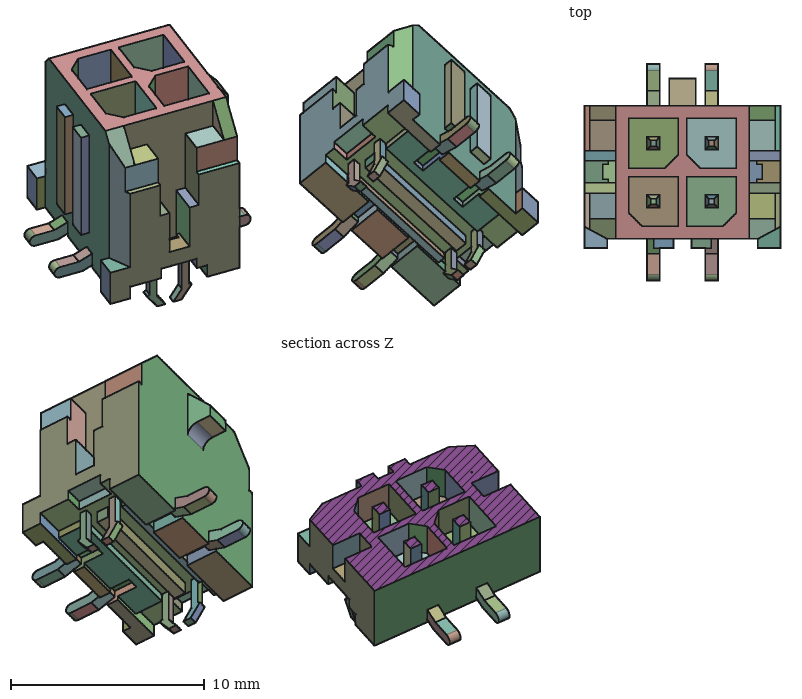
import cadquery as cq
import math

OVERALL_HEIGHT = 11.91
PITCH = 3.0
HEIGHT = 9.92
CORE_HALF = 3.44
WIDTH_HALF = 5.07
FRONT_Y = -3.92

STEP_X = 4.8
STEP_Z = 6.76
SHOULDER_Z = 8.3
SHOULDER_BACK_Y = 2.69
SHOULDER_FRONT_Y = -2.39
BEVEL_INNER_X = 3.88
BEVEL_Y = -2.8
FOOT_Z = 2.02

SLOT_Y = 0.02
WIDE_SLOT_HALF = 1.1
WIDE_SLOT_Z = 4.8
NARROW_SLOT_HALF = 0.57
NARROW_SLOT_Z = 2.29
SOCKET_DEPTH = 0.48
SOCKET_X = 3.84
SOCKET_KEY_X = 4.12
SOCKET_KEY_HALF = 0.39

CELL = 2.56
CELL_BEVEL = 0.69
CELL_FLOOR_Z = 2.02
PIN = 0.67
PIN_TIP = 0.3
PIN_TIP_Z = 7.15
PIN_TAPER = 0.95

RIB_X = 0.98
RIB_WIDTH = 1.02
RIB_TOP_Z = SHOULDER_Z

CHANNEL_FRONT_Y = -2.79
CHANNEL_BACK_Y = 1.61
CHANNEL_Z = 0.26
RELIEF_FRONT_Y = -1.14
RELIEF_BACK_Y = 1.2
RELIEF_Z = 0.75
RECESS_HALF = 1.01
RECESS_Z = 1.36
POST_HALF = 0.33

LATCH_HALF = 0.69
LATCH_Y = 4.85
LATCH_ROOT_Z = 9.36
LATCH_NOSE_Z = 7.73
LATCH_UNDER_Z = 6.98
LATCH_RADIUS = 0.6

LEAD_END_Y = 5.6
LEAD_BASE_Z = -0.05
LEAD_TOP_BEND_Y = 4.2
LEAD_BOTTOM_BEND_Y = 3.99
LEAD_ROOT_Y = 2.98
LEAD_RISE = math.tan(math.radians(20))

CLIP_INNER_X = CORE_HALF
CLIP_OUTER_X = BEVEL_INNER_X
CLIP_BOTTOM_Z = HEIGHT - OVERALL_HEIGHT
CLIP_LEG = [
    (0.71, RELIEF_Z),
    (1.12, RELIEF_Z),
    (1.12, -1.08),
    (1.27, -1.18),
    (0.69, CLIP_BOTTOM_Z),
    (0.23, CLIP_BOTTOM_Z),
    (0.71, -1.29),
]


def block(x0, x1, y0, y1, z0, z1):
    """Box between opposite corners."""
    return cq.Workplane("XY").box(x1 - x0, y1 - y0, z1 - z0, centered=False).translate((x0, y0, z0))


def across_x(points, x0, x1):
    """Extrude a closed (Y, Z) outline from x0 to x1."""
    return cq.Workplane("YZ", origin=(x0, 0, 0)).polyline(points).close().extrude(x1 - x0)


def both_sides(shape):
    """The shape joined with its mirror image in X."""
    return shape.union(shape.mirror("YZ"))


def housing():
    front_outline = [
        (-WIDTH_HALF, 0),
        (WIDTH_HALF, 0),
        (WIDTH_HALF, STEP_Z),
        (STEP_X, STEP_Z),
        (STEP_X, SHOULDER_Z),
        (CORE_HALF, HEIGHT),
        (-CORE_HALF, HEIGHT),
        (-STEP_X, SHOULDER_Z),
        (-STEP_X, STEP_Z),
        (-WIDTH_HALF, STEP_Z),
    ]
    body = (
        cq.Workplane("XZ", origin=(0, CORE_HALF, 0))
        .polyline(front_outline).close().extrude(2 * CORE_HALF)
    )
    bevel = (
        cq.Workplane("XY", origin=(0, 0, FOOT_Z))
        .moveTo(-BEVEL_INNER_X, -CORE_HALF)
        .lineTo(-WIDTH_HALF, BEVEL_Y)
        .lineTo(-WIDTH_HALF, -CORE_HALF)
        .close().extrude(HEIGHT)
    )
    gap_above_shoulder = block(
        -WIDTH_HALF, -CORE_HALF, SHOULDER_FRONT_Y, SHOULDER_BACK_Y, SHOULDER_Z, HEIGHT
    )
    foot = block(-WIDTH_HALF, -BEVEL_INNER_X, FRONT_Y, -CORE_HALF, 0, FOOT_Z)
    body = body.cut(both_sides(bevel)).cut(both_sides(gap_above_shoulder))
    return body.union(both_sides(foot))


def slot_block(outer_x, half, floor_z, top_z):
    """Block centred on the side slot, reaching from outer_x in to the core."""
    return block(-outer_x, -CORE_HALF, SLOT_Y - half, SLOT_Y + half, floor_z, top_z)


def side_slots():
    wide = slot_block(WIDTH_HALF, WIDE_SLOT_HALF, WIDE_SLOT_Z, HEIGHT)
    narrow = slot_block(WIDTH_HALF, NARROW_SLOT_HALF, NARROW_SLOT_Z, HEIGHT)
    socket_z = NARROW_SLOT_Z - SOCKET_DEPTH
    socket = slot_block(SOCKET_X, NARROW_SLOT_HALF, socket_z, NARROW_SLOT_Z)
    key = slot_block(SOCKET_KEY_X, SOCKET_KEY_HALF, socket_z, NARROW_SLOT_Z)
    return both_sides(wide.union(narrow).union(socket).union(key))


def underside():
    channel = block(-WIDTH_HALF, WIDTH_HALF, CHANNEL_FRONT_Y, CHANNEL_BACK_Y, 0, CHANNEL_Z)
    relief = block(-WIDTH_HALF, WIDTH_HALF, RELIEF_FRONT_Y, RELIEF_BACK_Y, 0, RELIEF_Z)
    wall_edge = block(-WIDTH_HALF, -CORE_HALF, CHANNEL_FRONT_Y, CHANNEL_BACK_Y, 0, RELIEF_Z)
    recess = block(-WIDTH_HALF, -SOCKET_KEY_X, -RECESS_HALF, RECESS_HALF, RELIEF_Z, RECESS_Z)
    post = block(-CORE_HALF, CORE_HALF, -POST_HALF, POST_HALF, 0, RELIEF_Z)
    return channel.union(relief).union(both_sides(wall_edge.union(recess))).cut(post)


def cavity(side_x, side_y):
    """Contact cavity keyed by one bevelled front corner: inner on the back row, outer on the front row."""
    x, y = side_x * PITCH / 2, side_y * PITCH / 2
    cell = block(-CELL / 2, CELL / 2, -CELL / 2, CELL / 2, CELL_FLOOR_Z, HEIGHT)
    corner = "<X and <Y" if side_x == side_y else ">X and <Y"
    return cell.edges("|Z").edges(corner).chamfer(CELL_BEVEL).translate((x, y, 0))


def pin(side_x, side_y):
    shaft_top = PIN_TIP_Z - PIN_TAPER
    shaft = block(-PIN / 2, PIN / 2, -PIN / 2, PIN / 2, CELL_FLOOR_Z, shaft_top)
    tip = (
        cq.Workplane("XY", origin=(0, 0, shaft_top))
        .rect(PIN, PIN).workplane(offset=PIN_TAPER).rect(PIN_TIP, PIN_TIP).loft()
    )
    return shaft.union(tip).translate((side_x * PITCH / 2, side_y * PITCH / 2, 0))


def lead(side_x):
    """Gull-wing lead with a rounded tip, leaving the back wall."""
    x = side_x * PITCH / 2
    top_z = LEAD_BASE_Z + PIN
    tip_y = LEAD_END_Y - PIN / 2
    outline = [
        (tip_y, top_z),
        (LEAD_TOP_BEND_Y, top_z),
        (LEAD_ROOT_Y, top_z + LEAD_RISE * (LEAD_TOP_BEND_Y - LEAD_ROOT_Y)),
        (LEAD_ROOT_Y, LEAD_BASE_Z + LEAD_RISE * (LEAD_BOTTOM_BEND_Y - LEAD_ROOT_Y)),
        (LEAD_BOTTOM_BEND_Y, LEAD_BASE_Z),
        (tip_y, LEAD_BASE_Z),
    ]
    return (
        cq.Workplane("YZ", origin=(x - PIN / 2, 0, 0))
        .polyline(outline)
        .threePointArc((LEAD_END_Y, LEAD_BASE_Z + PIN / 2), outline[0])
        .close().extrude(PIN)
    )


def lead_slot(side_x):
    """Opening in the back wall below a lead."""
    x = side_x * PITCH / 2
    return block(x - PIN / 2, x + PIN / 2, CHANNEL_BACK_Y, CORE_HALF, 0, RELIEF_Z)


def latch():
    return (
        cq.Workplane("YZ", origin=(-LATCH_HALF, 0, 0))
        .moveTo(CORE_HALF, LATCH_ROOT_Z)
        .lineTo(LATCH_Y, LATCH_NOSE_Z)
        .lineTo(LATCH_Y, LATCH_UNDER_Z)
        .lineTo(CORE_HALF + LATCH_RADIUS, LATCH_UNDER_Z)
        .radiusArc((CORE_HALF, LATCH_UNDER_Z - LATCH_RADIUS), -LATCH_RADIUS)
        .close().extrude(2 * LATCH_HALF)
    )


def board_clip():
    prong = across_x(CLIP_LEG, -CLIP_OUTER_X, -CLIP_INNER_X)
    return prong.union(prong.mirror("XZ"))


result = housing().cut(side_slots()).cut(underside())

for row in (-1, 1):
    for column in (-1, 1):
        result = result.cut(cavity(column, row)).union(pin(column, row))

for column in (-1, 1):
    slot = lead_slot(column)
    wing = lead(column)
    result = result.cut(slot).cut(slot.mirror("XZ"))
    result = result.union(wing).union(wing.mirror("XZ"))

    rib_x = column * RIB_X
    result = result.union(
        block(rib_x - RIB_WIDTH / 2, rib_x + RIB_WIDTH / 2, FRONT_Y, -CORE_HALF, FOOT_Z, RIB_TOP_Z)
    )

result = result.union(latch()).union(both_sides(board_clip()))